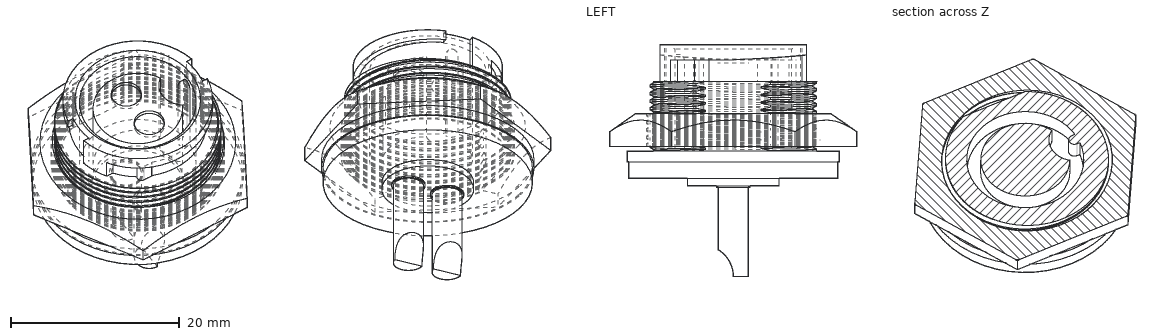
import cadquery as cq
import math


cut_margin = 0.3

flange_radius = 12.6
flange_step_radius = 12.45
flange_step_z = -1.25
flange_bottom_z = -3.23
boss_radius = 5.45
boss_bottom_z = -4.1

thread_top_z = 8.27
thread_crest_radius = 9.9
thread_root_radius = 9.47
thread_crest_flat = 0.23
thread_turns = 9
thread_turns_height = 8.07
thread_pitch = thread_turns_height / thread_turns
thread_crest_z = 0.35
flank_angle = 30.0
flank_slope = math.tan(math.radians(flank_angle))
thread_embed = 0.015

collar_top_z = 12.65
collar_radius = 8.9
neck_radius = 8.18
entry_slot_width = 3.5
track_ceiling_z = 10.85
ramp_rise = 0.6
track_end_x = 4.85
detent_radius = 0.53
detent_x = -7.15
detent_y = 4.05
detent_start_y = 2.9

socket_radius = 6.92
socket_mouth_radius = 7.45
socket_floor_z = 0.0
insert_radius = 5.3
insert_top_z = 10.97
key_radius = 0.7
key_y = 6.5
key_shoulder_z = 10.8
key_clearance_radius = 3.0

pin_radius = 1.8
pin_spacing = 5.07
pin_end_z = -14.9
pin_recess_depth = 0.5
bead_radius = 2.0
bead_height = 0.18
cup_cut_radius = 3.75

nut_corner_radius = 14.66
nut_bottom_z = 0.53
nut_top_z = 4.45
nut_face_radius = 11.61
nut_chamfer_angle = 35.0
nut_bore_radius = 9.83
nut_groove_radius = 10.32
nut_groove_flat = 0.25
nut_groove_z = 4.1


def cylinder(radius, bottom_z, top_z):
    return cq.Workplane("XY").workplane(offset=bottom_z).circle(radius).extrude(top_z - bottom_z)


def box(x_min, x_max, y_min, y_max, z_min, z_max):
    size = (x_max - x_min, y_max - y_min, z_max - z_min)
    return cq.Workplane("XY").box(*size, centered=False).translate((x_min, y_min, z_min))


def half_turn(shape):
    return shape.rotate((0, 0, 0), (0, 0, 1), 180)


def helical_bar(profile, pitch, rise):
    """Solid swept by a four-cornered (radius, height) profile climbing from the +X side around Z."""
    rails = [cq.Wire.makeHelix(pitch, rise, r).translate(cq.Vector(0, 0, z)) for r, z in profile]
    faces = [cq.Face.makeRuledSurface(rail, rails[i - 1]) for i, rail in enumerate(rails)]
    end_turn = 360 * rise / pitch
    end = cq.Face.makeFromWires(cq.Wire.makePolygon([cq.Vector(r, 0, z) for r, z in profile], close=True))
    far_end = end.rotate(cq.Vector(0, 0, 0), cq.Vector(0, 0, 1), end_turn).translate(cq.Vector(0, 0, rise))
    solid = cq.Solid.makeSolid(cq.Shell.makeShell(faces + [end, far_end]))
    return cq.Workplane(solid)


def thread_form(tip_radius, base_radius, tip_flat, middle_z, bottom_z, top_z):
    """Helical tooth or groove with sloped flanks, running past both ends of the height range."""
    tip_half = tip_flat / 2
    base_half = tip_half + abs(base_radius - tip_radius) * flank_slope
    start_z = middle_z - (math.ceil((middle_z - bottom_z) / thread_pitch) + 1) * thread_pitch
    turns = math.ceil((top_z - start_z) / thread_pitch) + 1
    profile = [(tip_radius, -tip_half), (base_radius, -base_half), (base_radius, base_half),
               (tip_radius, tip_half)]
    return helical_bar(profile, thread_pitch, turns * thread_pitch).translate((0, 0, start_z))


def threaded_barrel():
    tooth = thread_form(
        thread_crest_radius, thread_root_radius - thread_embed, thread_crest_flat,
        thread_crest_z, 0, thread_top_z,
    )
    core = cylinder(thread_root_radius, -thread_pitch, thread_top_z + thread_pitch)
    barrel = core.union(tooth).intersect(cylinder(flange_radius, 0, thread_top_z))
    flat_side = box(-flange_radius, -collar_radius, -flange_radius, flange_radius, 0, thread_top_z)
    return barrel.cut(flat_side)


def detent():
    """Rounded bump with a flat outer face, standing on the neck in the -X bayonet track."""
    rounded_end = cylinder(detent_radius, thread_top_z, track_ceiling_z).translate((detent_x, detent_y, 0))
    outer_x = detent_x - detent_radius
    body = box(outer_x, detent_x, detent_start_y, detent_y, thread_top_z, track_ceiling_z)
    return body.union(rounded_end)


def bayonet_cuts():
    """Cuts of the -X half: entry slot at -Y, ramped ceiling, and level track that ends at +Y."""
    reach = collar_radius + cut_margin
    slot_half = entry_slot_width / 2
    slot = box(-slot_half, slot_half, -reach, 0, thread_top_z, collar_top_z)

    side = box(-reach, 0, -reach, reach, thread_top_z, track_ceiling_z)
    beyond_end = box(-track_end_x, 0, 0, reach, thread_top_z, track_ceiling_z)
    level_track = side.cut(beyond_end)

    ramp_turn = 0.25 - math.asin(slot_half / collar_radius) / (2 * math.pi)
    ramp_pitch = ramp_rise / ramp_turn
    ramp_depth = 2 * ramp_rise
    ramp_profile = [(socket_radius, 0), (reach, 0), (reach, -ramp_depth), (socket_radius, -ramp_depth)]
    ramp = helical_bar(ramp_profile, ramp_pitch, ramp_pitch / 4).translate((0, 0, track_ceiling_z))
    return [slot, level_track, half_turn(ramp)]


def collar():
    shape = cylinder(collar_radius, thread_top_z, collar_top_z)
    for cut in bayonet_cuts():
        shape = shape.cut(cut).cut(half_turn(cut))
    neck = cylinder(neck_radius, thread_top_z, collar_top_z)
    return shape.union(neck).union(detent()).union(half_turn(detent()))


def socket():
    """Round recess of the collar and barrel, with a 45 degree lead-in at its mouth."""
    mouth_depth = socket_mouth_radius - socket_radius
    return (
        cq.Workplane("XZ")
        .polyline([(0, socket_floor_z), (socket_radius, socket_floor_z),
                   (socket_radius, collar_top_z - mouth_depth), (socket_mouth_radius, collar_top_z),
                   (0, collar_top_z)])
        .close()
        .revolve(360, (0, 0, 0), (0, 1, 0))
    )


def key():
    """Vertical rib on the +Y wall, rounded at its inner end and over its top."""
    rib_end = cylinder(key_radius, socket_floor_z, key_shoulder_z).translate((0, key_y, 0))
    dome = cq.Workplane("XY").sphere(key_radius).translate((0, key_y, key_shoulder_z))
    root_y = socket_radius + cut_margin
    rib = box(-key_radius, key_radius, key_y, root_y, socket_floor_z, key_shoulder_z)
    rounded_top = (
        cq.Workplane("XZ", origin=(0, key_y, key_shoulder_z)).circle(key_radius).extrude(key_y - root_y)
    )
    return rib_end.union(dome).union(rib).union(rounded_top)


def insert():
    clearance = cylinder(key_clearance_radius, socket_floor_z, insert_top_z).translate((0, key_y, 0))
    return cylinder(insert_radius, socket_floor_z, insert_top_z).cut(clearance)


def pin():
    """Rear part of a contact pin, with its bead and the solder cup cut on the +Y side."""
    shank = cylinder(pin_radius, pin_end_z, boss_bottom_z)
    cup_cut = (
        cq.Workplane("YZ", origin=(-bead_radius, 0, 0))
        .moveTo(0, pin_end_z)
        .radiusArc((cup_cut_radius, pin_end_z + cup_cut_radius), cup_cut_radius)
        .lineTo(cup_cut_radius, pin_end_z)
        .close()
        .extrude(2 * bead_radius)
    )
    bead = cylinder(bead_radius, boss_bottom_z - bead_height, boss_bottom_z)
    return shank.cut(cup_cut).union(bead)


def connector_body():
    body = cylinder(flange_radius, flange_step_z, 0)
    body = body.union(cylinder(flange_step_radius, flange_bottom_z, flange_step_z))
    body = body.union(cylinder(boss_radius, boss_bottom_z, flange_bottom_z))
    body = body.union(threaded_barrel()).union(collar())
    body = body.cut(socket()).union(key()).union(insert())

    for x in (-pin_spacing / 2, pin_spacing / 2):
        recess = cylinder(pin_radius, insert_top_z - pin_recess_depth, insert_top_z)
        body = body.cut(recess.translate((x, 0, 0))).union(pin().translate((x, 0, 0)))
    return body


def hex_nut():
    reach = nut_corner_radius + cut_margin
    drop = (reach - nut_face_radius) * math.tan(math.radians(nut_chamfer_angle))
    chamfered_ring = (
        cq.Workplane("YZ")
        .polyline([(nut_bore_radius, nut_bottom_z), (reach, nut_bottom_z), (reach, nut_top_z - drop),
                   (nut_face_radius, nut_top_z), (nut_bore_radius, nut_top_z)])
        .close()
        .revolve(360, (0, 0, 0), (0, 1, 0))
    )
    groove = thread_form(
        nut_groove_radius, nut_bore_radius - thread_embed, nut_groove_flat,
        nut_groove_z, nut_bottom_z, nut_top_z,
    )
    hexagon = (
        cq.Workplane("XY")
        .workplane(offset=nut_bottom_z)
        .polygon(6, 2 * nut_corner_radius)
        .extrude(nut_top_z - nut_bottom_z)
        .rotate((0, 0, 0), (0, 0, 1), 30)
    )
    return chamfered_ring.cut(groove).intersect(hexagon)


connector = connector_body()
nut = hex_nut()
result = cq.Compound.makeCompound([connector.solids().val(), nut.solids().val()])